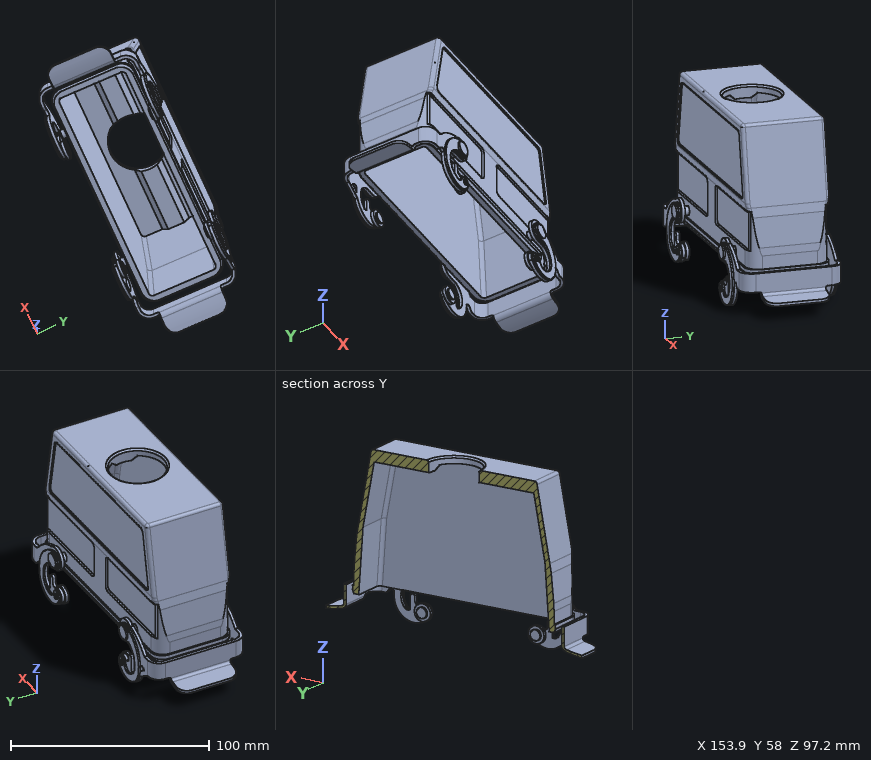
import cadquery as cq
import math

OVERALL_LENGTH = 153.86
OVERALL_HEIGHT = 97.17

BODY_HEIGHT = 78.5
UPPER_HALF_WIDTH = 22.4
LOWER_HALF_WIDTH = 21.65
SHOULDER_TOP_Z = 38.6
SHOULDER_BOTTOM_Z = 34.6
UPPER_CORNER_RADIUS = 2.0
LOWER_CORNER_RADIUS = 7.0
TOP_FILLET = 1.8
TOP_HALF_LENGTH = 49.7
END_BREAK_Z = 36.5
END_BREAK_HALF_LENGTH = 57.6
END_FOOT_Z = 31.5
END_FOOT_HALF_LENGTH = 58.5
END_KNEE_Z = 15.8
END_KNEE_HALF_LENGTH = 60.0
LOWER_STRAIGHT_TOP_Z = 11.6
LOWER_HALF_LENGTH = 60.2
END_FOOT_SLOPE = (END_FOOT_HALF_LENGTH - END_BREAK_HALF_LENGTH) / (END_BREAK_Z - END_FOOT_Z)
END_SLOPE = (END_BREAK_HALF_LENGTH - TOP_HALF_LENGTH) / (BODY_HEIGHT - END_BREAK_Z)

RIM_TOP_Z = 4.5
RIM_BOTTOM_Z = 2.2
RIM_HALF_LENGTH = 61.0
RIM_HALF_WIDTH = 22.4
RIM_BEVEL = 0.8

WALL = 3.2
ROOF_THICKNESS = 4.0
ENTRY_DIAMETER = 30.0
ENTRY_CHAMFER = 1.0
ROOF_RIB_DEPTH = 2.7
ROOF_RIB_BASE_HALF_WIDTH = 7.4
ROOF_RIB_TIP_HALF_WIDTH = 4.4

PANEL_DRAFT = 25.0
PANEL_CORNER_RADIUS = 2.5
UPPER_PANEL_DEPTH = 0.7
UPPER_PANEL_TOP_Z = 73.8
UPPER_PANEL_BOTTOM_Z = 39.5
UPPER_PANEL_TOP_HALF_LENGTH = 46.0
UPPER_PANEL_BOTTOM_HALF_LENGTH = 52.4
LOWER_PANEL_DEPTH = 1.0
LOWER_PANEL_TOP_Z = 34.3
LOWER_PANEL_BOTTOM_Z = 13.7
LOWER_PANEL_INNER_X = 6.0
PANEL_RUNOUT_X = 66.0
PANEL_BEVEL_X = 56.2
PANEL_BEVEL_SLOPE = 0.4

PLATE_OUTER_Y = 27.0
PLATE_THICKNESS = 1.8
PLATE_INNER_Y = PLATE_OUTER_Y - PLATE_THICKNESS
STRAP_END_X = 66.2
STRAP_BEND_RADIUS = 6.7
STRAP_TOP_Z = 4.3
STRAP_BOTTOM_Z = -5.6
HOOK_RIB_INSET = 0.3
HOOK_FACE_Y = 28.0

PIVOT_X = -37.0
PIVOT_Z = 8.4
PIVOT_PIN_DIAMETER = 4.9
PIVOT_HEAD_DIAMETER = 7.8
PIVOT_HEAD_FACE_Y = 29.0
PIVOT_EYE_RADIUS = 4.8
EAR_RADIUS = 6.3
EAR_Z = 9.0

HOOK_X = -40.1
HOOK_Z = -6.6
HOOK_DROP = OVERALL_HEIGHT - BODY_HEIGHT
HOOK_OUTER_RADIUS = HOOK_DROP + HOOK_Z

TIP_X = -34.1
TIP_Z = -11.8
TIP_PLATE_RADIUS = 3.9
TIP_EYE_RADIUS = 3.0
ROLLER_DIAMETER = 9.6
ROLLER_INNER_Y = 23.5
ROLLER_HUB_DIAMETER = 6.0
ROLLER_HUB_INNER_Y = 22.6
RIVET_DIAMETER = 3.1
RIVET_FACE_Y = 28.5

ARM_RISE_START = (-56.3, STRAP_TOP_Z)
ARM_CROWN_START = (-53.0, 7.6)
ARM_CROWN_MID = (-48.2, 11.2)
ARM_CROWN_END = (-41.7, 14.0)
NOTCH_HOOK_END = (-52.3, -4.0)
NOTCH_TOP = (-54.0, -3.1)
NOTCH_SIDE = (-55.6, -4.0)
NOTCH_FLARE = (-56.4, -5.1)
NOTCH_ARM_END = (-57.6, STRAP_BOTTOM_Z)
BOW_INNER_TOP = (-42.0, EAR_Z - EAR_RADIUS)
BOW_INNER_UPPER_MID = (-47.2, -1.2)
BOW_INNER_SIDE = (-48.0, -5.3)
BOW_INNER_LOWER_MID = (-47.0, -10.0)
BOW_INNER_BOTTOM = (-44.5, -12.5)
FINGER_LEFT_X = -42.6
FINGER_RIGHT_X = -39.7
FINGER_SHOULDER_Z = -4.9
FINGER_ROOT_RADIUS = 1.0
FINGER_NECK_Z = -7.0
FINGER_NECK_MID = (-39.1, -8.4)
FINGER_NECK_END = (-37.6, -8.9)
RIB_TOP_START = (-38.8, PIVOT_Z + 4.45)
RIB_BACK_MID = (-48.6, 6.3)
RIB_TIP_APPROACH = (-34.4, -16.7)
RIB_TIP_HOLLOW = (-38.2, -13.4)
RIB_HOLLOW_END = (-40.7, -14.4)
RIB_LOWER_MID = (-46.2, -11.2)
RIB_UPPER_MID = (-46.0, 0.5)
RIB_END_ANGLE = -37.0
RIB_NECK_OFFSET = 4.0

TAB_TIP_X = OVERALL_LENGTH / 2
TAB_TIP_TOP_Z = -9.0
TAB_BEND_Z = STRAP_BOTTOM_Z - 0.4
TAB_HALF_WIDTH = 17.0
TAB_CORNER_RADIUS = 6.0
TAB_ROOT_RADIUS = 1.2
TAB_THICKNESS = 1.6
TAB_TOP_BEND = (-66.6, -7.0)
TAB_TOP_BEND_END = (-67.6, -7.5)
TAB_TOP_MID = (-72.2, -8.4)
TAB_BOTTOM_MID = (-71.9, -10.0)
TAB_BOTTOM_BEND_END = (-66.9, -8.9)
TAB_BOTTOM_BEND = (-65.0, -7.7)

BRACE_CORNERS = [
    (-59.4, STRAP_BOTTOM_Z),
    (-56.5, -4.0),
    (-51.5, -7.4),
    (-51.5, -10.6),
]

EMBED = 0.5


def rounded_rectangle(half_x, half_y, radius, z):
    """Closed wire of a rounded rectangle at height z."""
    mid = radius * (1 - math.sqrt(0.5))
    return (
        cq.Workplane("XY", origin=(0, 0, z))
        .moveTo(-half_x + radius, -half_y)
        .lineTo(half_x - radius, -half_y)
        .threePointArc((half_x - mid, -half_y + mid), (half_x, -half_y + radius))
        .lineTo(half_x, half_y - radius)
        .threePointArc((half_x - mid, half_y - mid), (half_x - radius, half_y))
        .lineTo(-half_x + radius, half_y)
        .threePointArc((-half_x + mid, half_y - mid), (-half_x, half_y - radius))
        .lineTo(-half_x, -half_y + radius)
        .threePointArc((-half_x + mid, -half_y + mid), (-half_x + radius, -half_y))
        .close()
        .wires()
        .val()
    )


def loft(sections):
    """Ruled solid through (half_x, half_y, radius, z) sections."""
    wires = [rounded_rectangle(*section) for section in sections]
    return cq.Workplane(obj=cq.Solid.makeLoft(wires, True))


def upper_end_x(z):
    """Half length of the sloping upper end at height z."""
    return END_BREAK_HALF_LENGTH - END_SLOPE * (z - END_BREAK_Z)


def slab(profile, y_from, y_to):
    """Extrude a closed XZ profile between two Y positions."""
    return profile.extrude(y_from - y_to).translate((0, y_from, 0))


def disc(x, z, diameter, y_from, y_to):
    """Cylinder along Y between two Y positions."""
    return slab(cq.Workplane("XZ").center(x, z).circle(diameter / 2), y_from, y_to)


def make_body():
    shoulder_mid = (END_BREAK_Z - SHOULDER_BOTTOM_Z) / (SHOULDER_TOP_Z - SHOULDER_BOTTOM_Z)
    shoulder_mid_y = LOWER_HALF_WIDTH + shoulder_mid * (UPPER_HALF_WIDTH - LOWER_HALF_WIDTH)
    shoulder_bottom_x = END_FOOT_HALF_LENGTH - END_FOOT_SLOPE * (SHOULDER_BOTTOM_Z - END_FOOT_Z)
    end_profile = cq.Workplane("XZ").polyline([
        (LOWER_HALF_LENGTH, 0),
        (LOWER_HALF_LENGTH, LOWER_STRAIGHT_TOP_Z),
        (END_KNEE_HALF_LENGTH, END_KNEE_Z),
        (END_FOOT_HALF_LENGTH, END_FOOT_Z),
        (shoulder_bottom_x, SHOULDER_BOTTOM_Z),
        (-shoulder_bottom_x, SHOULDER_BOTTOM_Z),
        (-END_FOOT_HALF_LENGTH, END_FOOT_Z),
        (-END_KNEE_HALF_LENGTH, END_KNEE_Z),
        (-LOWER_HALF_LENGTH, LOWER_STRAIGHT_TOP_Z),
        (-LOWER_HALF_LENGTH, 0),
    ]).close()
    lower = loft([
        (LOWER_HALF_LENGTH, LOWER_HALF_WIDTH, LOWER_CORNER_RADIUS, RIM_BOTTOM_Z),
        (LOWER_HALF_LENGTH, LOWER_HALF_WIDTH, LOWER_CORNER_RADIUS, SHOULDER_BOTTOM_Z),
    ]).intersect(end_profile.extrude(RIM_HALF_WIDTH, both=True))
    shoulder = loft([
        (shoulder_bottom_x, LOWER_HALF_WIDTH, UPPER_CORNER_RADIUS, SHOULDER_BOTTOM_Z),
        (END_BREAK_HALF_LENGTH, shoulder_mid_y, UPPER_CORNER_RADIUS, END_BREAK_Z),
        (upper_end_x(SHOULDER_TOP_Z), UPPER_HALF_WIDTH, UPPER_CORNER_RADIUS, SHOULDER_TOP_Z),
    ])
    upper = loft([
        (upper_end_x(SHOULDER_TOP_Z), UPPER_HALF_WIDTH, UPPER_CORNER_RADIUS, SHOULDER_TOP_Z),
        (TOP_HALF_LENGTH, UPPER_HALF_WIDTH, UPPER_CORNER_RADIUS, BODY_HEIGHT),
    ]).faces(">Z").edges().fillet(TOP_FILLET)
    rim = loft([
        (RIM_HALF_LENGTH - RIM_BEVEL, RIM_HALF_WIDTH - RIM_BEVEL, LOWER_CORNER_RADIUS, 0),
        (RIM_HALF_LENGTH, RIM_HALF_WIDTH, LOWER_CORNER_RADIUS, RIM_BOTTOM_Z),
        (RIM_HALF_LENGTH, RIM_HALF_WIDTH, LOWER_CORNER_RADIUS, RIM_TOP_Z),
    ])
    return lower.union(shoulder).union(upper).union(rim)


def make_cavity():
    ceiling_z = BODY_HEIGHT - ROOF_THICKNESS
    half_width = LOWER_HALF_WIDTH - WALL
    cavity = loft([
        (LOWER_HALF_LENGTH - WALL, half_width, UPPER_CORNER_RADIUS, 0),
        (END_BREAK_HALF_LENGTH - WALL, half_width, UPPER_CORNER_RADIUS, END_BREAK_Z),
        (upper_end_x(ceiling_z) - WALL, half_width, UPPER_CORNER_RADIUS, ceiling_z),
    ])
    rib = (
        cq.Workplane("YZ")
        .polyline([
            (-ROOF_RIB_BASE_HALF_WIDTH, ceiling_z),
            (-ROOF_RIB_TIP_HALF_WIDTH, ceiling_z - ROOF_RIB_DEPTH),
            (ROOF_RIB_TIP_HALF_WIDTH, ceiling_z - ROOF_RIB_DEPTH),
            (ROOF_RIB_BASE_HALF_WIDTH, ceiling_z),
        ])
        .close()
        .extrude(END_BREAK_HALF_LENGTH, both=True)
    )
    return cavity.cut(rib)


def make_cable_entry():
    radius = ENTRY_DIAMETER / 2
    bore = cq.Workplane("XY").circle(radius).extrude(BODY_HEIGHT)
    chamfer = cq.Workplane(obj=cq.Solid.makeCone(
        radius, radius + ENTRY_CHAMFER, ENTRY_CHAMFER,
        pnt=cq.Vector(0, 0, BODY_HEIGHT - ENTRY_CHAMFER),
    ))
    return bore.union(chamfer)


def panel_cutter(points, face_y, depth):
    """Drafted recess cutter for the panel outline on the -Y face."""
    outline = cq.Sketch().polygon(points + points[:1]).vertices().fillet(PANEL_CORNER_RADIUS)
    return (
        cq.Workplane("XZ", origin=(0, -face_y, 0))
        .placeSketch(outline)
        .extrude(-depth, taper=PANEL_DRAFT)
    )


def panel_end_bevel():
    """Cutter that bevels the open end of a lower panel where it leaves through the body corner."""
    floor_y = LOWER_HALF_WIDTH - LOWER_PANEL_DEPTH
    return (
        cq.Workplane("XY", origin=(0, 0, LOWER_PANEL_BOTTOM_Z))
        .polyline([
            (-PANEL_BEVEL_X, -floor_y),
            (-RIM_HALF_LENGTH, -floor_y + PANEL_BEVEL_SLOPE * (RIM_HALF_LENGTH - PANEL_BEVEL_X)),
            (-RIM_HALF_LENGTH, -LOWER_HALF_WIDTH),
            (-PANEL_BEVEL_X, -LOWER_HALF_WIDTH),
        ])
        .close()
        .extrude(LOWER_PANEL_TOP_Z - LOWER_PANEL_BOTTOM_Z)
    )


def make_panels():
    upper = panel_cutter([
        (-UPPER_PANEL_BOTTOM_HALF_LENGTH, UPPER_PANEL_BOTTOM_Z),
        (UPPER_PANEL_BOTTOM_HALF_LENGTH, UPPER_PANEL_BOTTOM_Z),
        (UPPER_PANEL_TOP_HALF_LENGTH, UPPER_PANEL_TOP_Z),
        (-UPPER_PANEL_TOP_HALF_LENGTH, UPPER_PANEL_TOP_Z),
    ], UPPER_HALF_WIDTH, UPPER_PANEL_DEPTH)
    lower = panel_cutter([
        (-PANEL_RUNOUT_X, LOWER_PANEL_BOTTOM_Z),
        (-LOWER_PANEL_INNER_X, LOWER_PANEL_BOTTOM_Z),
        (-LOWER_PANEL_INNER_X, LOWER_PANEL_TOP_Z),
        (-PANEL_RUNOUT_X, LOWER_PANEL_TOP_Z),
    ], LOWER_HALF_WIDTH, LOWER_PANEL_DEPTH)
    lower = lower.union(panel_end_bevel())
    side = upper.union(lower).union(lower.mirror("YZ"))
    return side.union(side.mirror("XZ"))


def make_strap():
    """U-shaped strap around the -X end, reaching to the start of the lever arms."""
    height = STRAP_TOP_Z - STRAP_BOTTOM_Z
    outer = (
        cq.Workplane("XY", origin=(0, 0, STRAP_BOTTOM_Z))
        .rect(2 * STRAP_END_X, 2 * PLATE_OUTER_Y)
        .extrude(height)
        .edges("|Z")
        .fillet(STRAP_BEND_RADIUS)
    )
    inner = (
        cq.Workplane("XY", origin=(0, 0, STRAP_BOTTOM_Z))
        .rect(2 * (STRAP_END_X - PLATE_THICKNESS), 2 * PLATE_INNER_Y)
        .extrude(height)
        .edges("|Z")
        .fillet(STRAP_BEND_RADIUS - PLATE_THICKNESS)
    )
    end_length = STRAP_BEND_RADIUS + EMBED
    end_zone = cq.Workplane("XY", origin=(end_length / 2 - STRAP_END_X, 0, STRAP_BOTTOM_Z)).rect(
        end_length, 2 * PLATE_OUTER_Y
    ).extrude(height)
    return outer.cut(inner).intersect(end_zone)


def hook_plate_profile():
    """Arm and hook in the strap sheet, with the upright finger inside the bow."""
    tip_angle = math.atan2(TIP_Z - HOOK_Z, TIP_X - HOOK_X)
    bow_end = (
        HOOK_X + HOOK_OUTER_RADIUS * math.cos(tip_angle),
        HOOK_Z + HOOK_OUTER_RADIUS * math.sin(tip_angle),
    )
    bend_end_x = -STRAP_END_X + STRAP_BEND_RADIUS
    bottom_z = BOW_INNER_BOTTOM[1]
    root_mid = FINGER_ROOT_RADIUS * (1 - math.sqrt(0.5))
    finger_x = (FINGER_LEFT_X + FINGER_RIGHT_X) / 2
    finger_radius = (FINGER_RIGHT_X - FINGER_LEFT_X) / 2
    return (
        cq.Workplane("XZ")
        .moveTo(bend_end_x, STRAP_TOP_Z)
        .lineTo(*ARM_RISE_START)
        .lineTo(*ARM_CROWN_START)
        .threePointArc(ARM_CROWN_MID, ARM_CROWN_END)
        .lineTo(PIVOT_X, EAR_Z)
        .lineTo(PIVOT_X, EAR_Z - EAR_RADIUS)
        .lineTo(*BOW_INNER_TOP)
        .threePointArc(BOW_INNER_UPPER_MID, BOW_INNER_SIDE)
        .threePointArc(BOW_INNER_LOWER_MID, BOW_INNER_BOTTOM)
        .lineTo(FINGER_LEFT_X - FINGER_ROOT_RADIUS, bottom_z)
        .threePointArc(
            (FINGER_LEFT_X - root_mid, bottom_z + root_mid),
            (FINGER_LEFT_X, bottom_z + FINGER_ROOT_RADIUS),
        )
        .lineTo(FINGER_LEFT_X, FINGER_SHOULDER_Z)
        .threePointArc((finger_x, FINGER_SHOULDER_Z + finger_radius), (FINGER_RIGHT_X, FINGER_SHOULDER_Z))
        .lineTo(FINGER_RIGHT_X, FINGER_NECK_Z)
        .threePointArc(FINGER_NECK_MID, FINGER_NECK_END)
        .lineTo(TIP_X, TIP_Z)
        .lineTo(*bow_end)
        .threePointArc((HOOK_X, HOOK_Z - HOOK_OUTER_RADIUS), (HOOK_X - HOOK_OUTER_RADIUS, HOOK_Z))
        .lineTo(*NOTCH_HOOK_END)
        .threePointArc(NOTCH_TOP, NOTCH_SIDE)
        .threePointArc(NOTCH_FLARE, NOTCH_ARM_END)
        .lineTo(bend_end_x, STRAP_BOTTOM_Z)
        .close()
    )


def hook_rib_profile():
    """Raised C-shaped rib running from the pivot eye to the tip eye."""
    bow_radius = HOOK_OUTER_RADIUS - HOOK_RIB_INSET
    eye_angle = math.radians(RIB_END_ANGLE)
    eye_end = (TIP_X + TIP_EYE_RADIUS * math.cos(eye_angle), TIP_Z + TIP_EYE_RADIUS * math.sin(eye_angle))
    bow_diagonal = bow_radius * math.sqrt(0.5)
    return (
        cq.Workplane("XZ")
        .moveTo(*RIB_TOP_START)
        .threePointArc(RIB_BACK_MID, (HOOK_X - bow_radius, HOOK_Z))
        .threePointArc((HOOK_X - bow_diagonal, HOOK_Z - bow_diagonal), (HOOK_X, HOOK_Z - bow_radius))
        .threePointArc(RIB_TIP_APPROACH, eye_end)
        .lineTo(TIP_X, TIP_Z)
        .lineTo(TIP_X - TIP_EYE_RADIUS, TIP_Z)
        .threePointArc(RIB_TIP_HOLLOW, RIB_HOLLOW_END)
        .threePointArc(RIB_LOWER_MID, BOW_INNER_SIDE)
        .threePointArc(RIB_UPPER_MID, (PIVOT_X - RIB_NECK_OFFSET, PIVOT_Z - RIB_NECK_OFFSET))
        .lineTo(PIVOT_X, PIVOT_Z - PIVOT_EYE_RADIUS)
        .close()
    )


def make_lever_side():
    """Everything on the -Y side of the -X lever."""
    pin_end_y = LOWER_HALF_WIDTH - EMBED
    side = slab(hook_plate_profile(), -PLATE_OUTER_Y, -PLATE_INNER_Y)
    side = side.union(slab(hook_rib_profile(), -HOOK_FACE_Y, -PLATE_OUTER_Y))
    side = side.union(disc(PIVOT_X, EAR_Z, 2 * EAR_RADIUS, -PLATE_OUTER_Y, -PLATE_INNER_Y))

    pivot_steps = [
        (PIVOT_HEAD_DIAMETER, PIVOT_HEAD_FACE_Y, HOOK_FACE_Y),
        (2 * PIVOT_EYE_RADIUS, HOOK_FACE_Y, PLATE_OUTER_Y),
        (PIVOT_PIN_DIAMETER, HOOK_FACE_Y, pin_end_y),
    ]
    tip_steps = [
        (RIVET_DIAMETER, RIVET_FACE_Y, HOOK_FACE_Y),
        (2 * TIP_EYE_RADIUS, HOOK_FACE_Y, PLATE_OUTER_Y),
        (2 * TIP_PLATE_RADIUS, PLATE_OUTER_Y, PLATE_INNER_Y),
        (ROLLER_DIAMETER, PLATE_INNER_Y, ROLLER_INNER_Y),
        (ROLLER_HUB_DIAMETER, ROLLER_INNER_Y, ROLLER_HUB_INNER_Y),
    ]
    for diameter, outer_y, inner_y in pivot_steps:
        side = side.union(disc(PIVOT_X, PIVOT_Z, diameter, -outer_y, -inner_y))
    for diameter, outer_y, inner_y in tip_steps:
        side = side.union(disc(TIP_X, TIP_Z, diameter, -outer_y, -inner_y))
    return side


def make_tab():
    """Bent finger tab hanging from the strap on the -X end."""
    inner_x = -STRAP_END_X + PLATE_THICKNESS
    profile = (
        cq.Workplane("XZ")
        .moveTo(-STRAP_END_X, STRAP_BOTTOM_Z + EMBED)
        .lineTo(-STRAP_END_X, TAB_BEND_Z)
        .threePointArc(TAB_TOP_BEND, TAB_TOP_BEND_END)
        .threePointArc(TAB_TOP_MID, (-TAB_TIP_X, TAB_TIP_TOP_Z))
        .lineTo(-TAB_TIP_X, TAB_TIP_TOP_Z - TAB_THICKNESS)
        .threePointArc(TAB_BOTTOM_MID, TAB_BOTTOM_BEND_END)
        .threePointArc(TAB_BOTTOM_BEND, (inner_x, TAB_BEND_Z))
        .lineTo(inner_x, STRAP_BOTTOM_Z + EMBED)
        .close()
    )
    root_half_width = TAB_HALF_WIDTH + TAB_ROOT_RADIUS
    flare_mid = TAB_ROOT_RADIUS * (1 - math.sqrt(0.5))
    flare_mid_y = TAB_HALF_WIDTH + flare_mid
    flare_mid_z = STRAP_BOTTOM_Z - flare_mid
    flare_end_z = STRAP_BOTTOM_Z - TAB_ROOT_RADIUS
    tab_bottom_z = TAB_TIP_TOP_Z - TAB_THICKNESS
    outline = (
        cq.Workplane("YZ")
        .moveTo(-root_half_width, STRAP_BOTTOM_Z + EMBED)
        .lineTo(-root_half_width, STRAP_BOTTOM_Z)
        .threePointArc((-flare_mid_y, flare_mid_z), (-TAB_HALF_WIDTH, flare_end_z))
        .lineTo(-TAB_HALF_WIDTH, tab_bottom_z)
        .lineTo(TAB_HALF_WIDTH, tab_bottom_z)
        .lineTo(TAB_HALF_WIDTH, flare_end_z)
        .threePointArc((flare_mid_y, flare_mid_z), (root_half_width, STRAP_BOTTOM_Z))
        .lineTo(root_half_width, STRAP_BOTTOM_Z + EMBED)
        .close()
    )
    sheet = profile.extrude(root_half_width, both=True)
    tab = sheet.intersect(outline.extrude(-OVERALL_LENGTH))
    return tab.edges("|Z and <X").fillet(TAB_CORNER_RADIUS)


def make_brace():
    """Slanted strip between strap and hook, only on the +Y side of the -X lever."""
    profile = cq.Workplane("XZ").polyline(BRACE_CORNERS).close()
    return slab(profile, PLATE_INNER_Y, PLATE_OUTER_Y)


def make_lever():
    side = make_lever_side()
    return make_strap().union(side).union(side.mirror("XZ")).union(make_tab())


body = make_body().cut(make_panels()).cut(make_cavity()).cut(make_cable_entry())
lever = make_lever()
result = body.union(lever).union(lever.mirror("YZ")).union(make_brace()).clean()